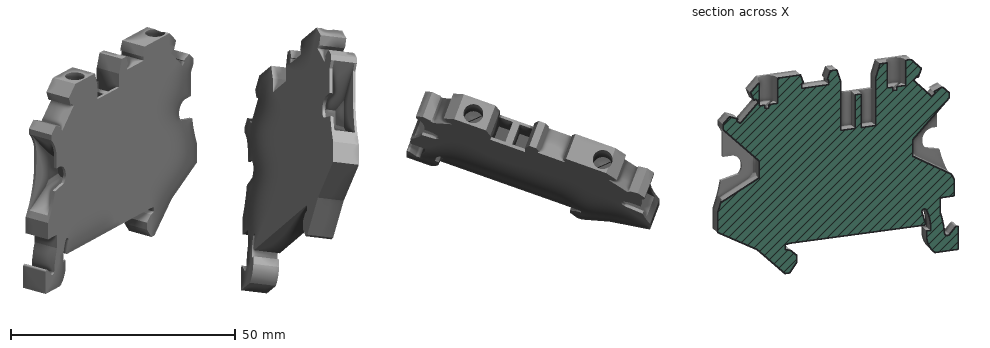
import cadquery as cq
import math


THICKNESS = 6.15
HEIGHT = 46.85
BODY_HALF_WIDTH = 28.43
SPRING_FOOT_Y = -29.37

WALL_LEFT = 0.57
CAVITY_WIDTH = 4.89

SHOULDER_Z = 16.8
FRONT_FLANK_BOTTOM_Z = 12.85
BACK_FLANK_BOTTOM_Z = 12.05
FRONT_WAIST_Y = -25.14
BACK_WAIST_Y = 26.23
EAR_HALF_WIDTH = 27.15
EAR_BOTTOM_Z = 36.34
RAIL_SEAT_Z = 6.88

SLOT_FRONT_Y = -9.47
SLOT_BACK_Y = -1.25
SLOT_FLOOR_Z = 40.3
SLOT_FLARE_Z = 43.6
SLOT_FLARE = 1.04
SLOT_RIB = 1.6
POCKET_DEPTH = 8.0

MARKER_MID_Y = 4.95
MARKER_HALF_FLOOR = 3.18
MARKER_HALF_CATCH = 2.75
MARKER_HALF_TOP = 3.55
MARKER_FLOOR_Z = 43.6
MARKER_LEDGE_Z = 44.7

SCREW_X = 3.48
SCREW_YS = (-14.47, 16.2)
SCREW_BORE_DIAMETER = 4.4
SCREW_BORE_DEPTH = 6.0
DRIVER_SLOT_WIDTH = 0.6
DRIVER_SLOT_DEPTH = 0.8
DRIVER_SLOT_ANGLE = -45

FRONT_FUNNEL_LIP = (-27.85, 18.1)
BACK_FUNNEL_LIP = (27.45, 19.2)
FUNNEL_END_HALF_SPAN = 18.5
FUNNEL_END_BOTTOM_Z = 23.7
FUNNEL_END_TOP_Z = 27.7
FUNNEL_END_LEFT_X = 1.81
FUNNEL_END_RIGHT_X = 5.12
FUNNEL_LEFT_TAPER_LENGTH = 2.0
FUNNEL_RIGHT_TAPER_LENGTH = 0.5
FUNNEL_CORNER = 0.6

WINDOW_TOP_Z = 28.9
WINDOW_ARC_START = (23.8, WINDOW_TOP_Z)
WINDOW_ARC_MIDDLE = (21.65, 26.5)
WINDOW_ARC_END = (22.4, 24.3)
WINDOW_SILL_END = (BODY_HALF_WIDTH, 22.95)

HEAD_EDGE = [
    (EAR_HALF_WIDTH, EAR_BOTTOM_Z),
    (EAR_HALF_WIDTH, 37.64),
    (25.52, 39.27),
    (23.4, 38.4),
    (23.77, 38.04),
    (23.0, 37.28),
    (18.62, 41.77),
    (19.36, 42.5),
    (19.7, 42.16),
    (20.53, 44.28),
    (18.0, HEIGHT),
]


def head_edge(side):
    """Head edge on the -Y (side = -1) or +Y (side = +1) end, bottom to top."""
    return [(side * distance, z) for distance, z in HEAD_EDGE]


def marker_edge(side):
    """One side of the marker recess, from its floor up to the top face."""
    half_widths = (MARKER_HALF_FLOOR, MARKER_HALF_FLOOR, MARKER_HALF_CATCH, MARKER_HALF_TOP)
    heights = (MARKER_FLOOR_Z, MARKER_LEDGE_Z, MARKER_LEDGE_Z, HEIGHT)
    return [(MARKER_MID_Y + side * w, z) for w, z in zip(half_widths, heights)]


def make_body():
    slot_edge = [
        (SLOT_FRONT_Y - SLOT_FLARE, HEIGHT),
        (SLOT_FRONT_Y, SLOT_FLARE_Z),
        (SLOT_FRONT_Y, SLOT_FLOOR_Z),
        (SLOT_BACK_Y, SLOT_FLOOR_Z),
        (SLOT_BACK_Y, SLOT_FLARE_Z),
        (SLOT_BACK_Y + SLOT_FLARE, HEIGHT),
    ]
    top_edge = (
        head_edge(-1)
        + slot_edge
        + marker_edge(-1)[::-1]
        + marker_edge(1)
        + head_edge(1)[::-1]
    )
    underside = [
        (BODY_HALF_WIDTH, BACK_FLANK_BOTTOM_Z),
        (18.9, 6.62),
        (12.25, 0),
        (11.1, 0),
        (9.39, 2.32),
        (9.39, 4.02),
        (10.95, 5.5),
        (12.11, 5.75),
        (12.11, RAIL_SEAT_Z),
        (10.95, 7.05),
        (-21.25, RAIL_SEAT_Z),
        (-21.55, 7.2),
        (-20.68, 9.95),
    ]
    outline = (
        cq.Workplane("YZ")
        .moveTo(-BODY_HALF_WIDTH, SHOULDER_Z)
        .threePointArc((-25.98, 22.65), (FRONT_WAIST_Y, 28.9))
        .lineTo(FRONT_WAIST_Y, 31.3)
        .threePointArc((-25.66, 34.02), (-EAR_HALF_WIDTH, EAR_BOTTOM_Z))
    )
    for point in top_edge[1:]:
        outline = outline.lineTo(*point)
    outline = (
        outline.lineTo(BACK_WAIST_Y, 34.7)
        .lineTo(BACK_WAIST_Y, 27.4)
        .threePointArc((26.95, 21.9), (BODY_HALF_WIDTH, SHOULDER_Z))
    )
    for point in underside:
        outline = outline.lineTo(*point)
    outline = (
        outline.threePointArc((-21.15, 10.72), (-21.7, 10.4))
        .threePointArc((-22.35, 8.5), (-22.64, 5.5))
        .lineTo(-21.7, 5.6)
        .lineTo(-21.7, 3.8)
        .threePointArc((-22.3, 1.75), (-23.75, 0))
        .lineTo(SPRING_FOOT_Y, 0)
        .lineTo(SPRING_FOOT_Y, 5.2)
        .threePointArc((-28.92, 5.65), (-28.6, 5.51))
        .lineTo(-27.32, 4.07)
        .threePointArc((-26.65, 3.76), (-26.1, 4.15))
        .threePointArc((-25.72, 6.9), (-24.99, 9.55))
        .lineTo(-24.99, 12.6)
        .lineTo(-25.24, FRONT_FLANK_BOTTOM_Z)
        .lineTo(-BODY_HALF_WIDTH, FRONT_FLANK_BOTTOM_Z)
        .close()
    )
    return outline.extrude(THICKNESS)


def make_funnel(lip):
    """Wire entry: floor and ceiling converge inward, then the side walls close in."""
    side = math.copysign(1, lip[0])
    ramp = (
        cq.Workplane("YZ")
        .polyline([
            lip,
            (side * FUNNEL_END_HALF_SPAN, FUNNEL_END_BOTTOM_Z),
            (side * FUNNEL_END_HALF_SPAN, FUNNEL_END_TOP_Z),
            (side * EAR_HALF_WIDTH, EAR_BOTTOM_Z),
        ])
        .close()
        .extrude(THICKNESS)
    )
    left_taper_start = FUNNEL_END_HALF_SPAN + FUNNEL_LEFT_TAPER_LENGTH
    right_taper_start = FUNNEL_END_HALF_SPAN + FUNNEL_RIGHT_TAPER_LENGTH
    plan = (
        cq.Workplane("XY")
        .polyline([
            (WALL_LEFT, side * BODY_HALF_WIDTH),
            (WALL_LEFT, side * left_taper_start),
            (FUNNEL_END_LEFT_X, side * FUNNEL_END_HALF_SPAN),
            (FUNNEL_END_RIGHT_X, side * FUNNEL_END_HALF_SPAN),
            (WALL_LEFT + CAVITY_WIDTH, side * right_taper_start),
            (WALL_LEFT + CAVITY_WIDTH, side * BODY_HALF_WIDTH),
        ])
        .close()
        .extrude(HEIGHT)
    )
    funnel = ramp.intersect(plan)
    corner_box = cq.selectors.BoxSelector(
        (0, side * FUNNEL_END_HALF_SPAN, lip[1]),
        (THICKNESS, side * left_taper_start, FUNNEL_END_BOTTOM_Z),
    )
    return funnel.edges(corner_box).chamfer(FUNNEL_CORNER)


def make_window(side):
    """Round-ended opening through the +X wall into the funnel."""
    arc_start, arc_middle, arc_end, sill_end = (
        (side * distance, z)
        for distance, z in (WINDOW_ARC_START, WINDOW_ARC_MIDDLE, WINDOW_ARC_END, WINDOW_SILL_END)
    )
    return (
        cq.Workplane("YZ", origin=(WALL_LEFT + CAVITY_WIDTH, 0, 0))
        .moveTo(side * BODY_HALF_WIDTH, WINDOW_TOP_Z)
        .lineTo(*arc_start)
        .threePointArc(arc_middle, arc_end)
        .lineTo(*sill_end)
        .close()
        .extrude(THICKNESS)
    )


def make_slot_pockets():
    """Two pockets in the bridge slot floor, separated by a rib."""
    pocket_length = (SLOT_BACK_Y - SLOT_FRONT_Y - SLOT_RIB) / 2
    pockets = cq.Workplane("XY")
    for start_y in (SLOT_FRONT_Y, SLOT_BACK_Y - pocket_length):
        pocket = cq.Workplane("XY").box(CAVITY_WIDTH, pocket_length, POCKET_DEPTH, centered=False)
        pockets = pockets.add(pocket.translate((WALL_LEFT, start_y, SLOT_FLOOR_Z - POCKET_DEPTH)))
    return pockets


def make_screw_bore(y):
    """Blind bore whose floor is a screw head with a driver slot."""
    radius = SCREW_BORE_DIAMETER / 2
    head_z = HEIGHT - SCREW_BORE_DEPTH
    bore = cq.Workplane("XY").circle(radius).extrude(SCREW_BORE_DEPTH)
    driver_slot = (
        cq.Workplane("XY")
        .rect(SCREW_BORE_DIAMETER, DRIVER_SLOT_WIDTH)
        .extrude(-DRIVER_SLOT_DEPTH)
        .rotate((0, 0, 0), (0, 0, 1), DRIVER_SLOT_ANGLE)
    )
    slot_in_head = driver_slot.intersect(cq.Workplane("XY").circle(radius).extrude(-DRIVER_SLOT_DEPTH))
    return bore.union(slot_in_head).translate((SCREW_X, y, head_z))


result = make_body()
for funnel_lip in (FRONT_FUNNEL_LIP, BACK_FUNNEL_LIP):
    result = result.cut(make_funnel(funnel_lip))
for end in (-1, 1):
    result = result.cut(make_window(end))
for pocket in make_slot_pockets().vals():
    result = result.cut(cq.Workplane(pocket))
for screw_y in SCREW_YS:
    result = result.cut(make_screw_bore(screw_y))